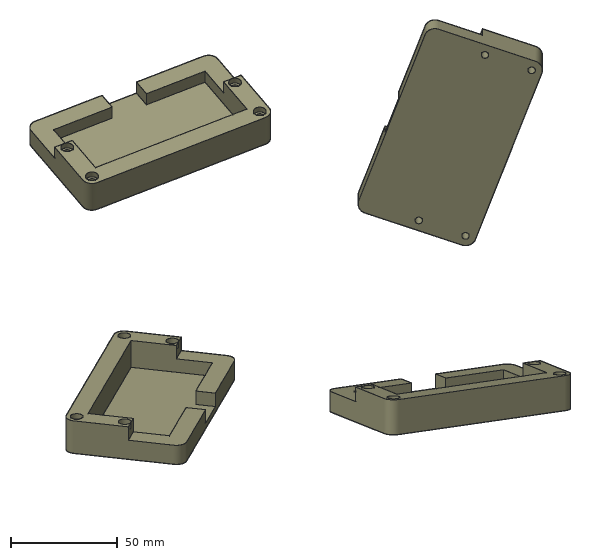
import cadquery as cq

width = 58.4
length = 101.0
height = 17.0
corner_radius = 4.9

shelf_width = 27.0
shelf_height = 10.0

wall = 9.5
floor = 3.0
opening_width = 18.6

hole_diameter = 3.4
bore_diameter = 6.0
bore_depth = 3.0
hole_inset = 5.0
hole_spacing_x = 23.3


def box_between(x_min, x_max, y_size, z_min, z_max):
    """Box centred on Y, spanning the given X and Z limits."""
    return (
        cq.Workplane("XY")
        .box(x_max - x_min, y_size, z_max - z_min, centered=(False, True, False))
        .translate((x_min, 0, z_min))
    )


body = box_between(0, width, length, 0, height).edges("|Z").fillet(corner_radius)

body = body.cut(box_between(0, shelf_width, length, shelf_height, height))

body = body.cut(box_between(wall, width - wall, length - 2 * wall, floor, height))
body = body.cut(box_between(0, wall, opening_width, floor, height))

outer_hole_x = width - hole_inset
hole_y = length / 2 - hole_inset
hole_centres = [
    (x, y)
    for x in (outer_hole_x - hole_spacing_x, outer_hole_x)
    for y in (-hole_y, hole_y)
]
result = (
    body.faces(">Z")
    .workplane(origin=(0, 0, height))
    .pushPoints(hole_centres)
    .cboreHole(hole_diameter, bore_diameter, bore_depth)
)